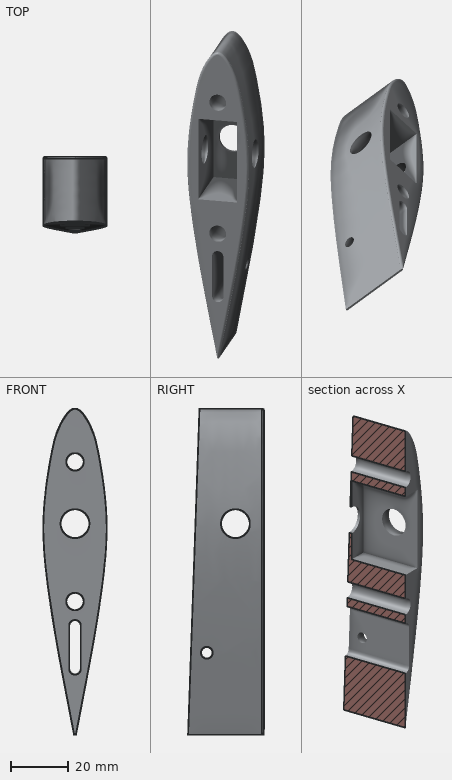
import cadquery as cq
import math

chord = 113.96
thickness = 22.21
tail_depth = 26.58
face_slope = 2.0
nose_depth = tail_depth - chord * math.tan(math.radians(face_slope))

tail_slope = 0.19
tail_tip_half_width = 0.35
tail_start = 85.0
tail_start_half_width = tail_tip_half_width + tail_slope * (chord - tail_start)
outline_points = [
    (4.85, 5.0),
    (8.1, 15.0),
    (thickness / 2, 41.0),
    (9.78, 60.0),
    (tail_start_half_width, tail_start),
    (tail_tip_half_width, chord),
]

rim_depth = 0.8
rim_radius = 0.999 * rim_depth

pin_diameter = 6.0
pin_distances = [18.6, 67.4]
bore_diameter = 10.0
bore_distance = 40.2
slot_width = 4.0
slot_length = 19.0
slot_distance = 83.4

pocket_width = 14.0
pocket_height = 30.0
pocket_depth = 23.0

cross_bore_from_back = 10.0
cross_pin_diameter = 4.0
cross_pin_distance = 85.3
cross_pin_from_back = 20.0


def height(distance):
    """Z of a place given by its distance below the nose."""
    return chord - distance


def foil_prism(back, front):
    """Foil outline extruded between two distances ahead of the back face."""
    right = [(half_width, height(distance)) for half_width, distance in outline_points]
    left = [(-x, z) for x, z in reversed(right)]
    return (
        cq.Workplane("XZ", origin=(0, -back, 0))
        .spline(left + [(0, chord)] + right, tangents=[(-tail_slope, 1), (-tail_slope, -1)])
        .close()
        .extrude(front - back)
    )


def make_main():
    """Foil from the rim forward, with its front face leaning back towards the nose."""
    wedge = (
        cq.Workplane("YZ")
        .moveTo(-tail_depth, 0)
        .lineTo(-nose_depth, chord)
        .lineTo(-tail_depth, chord)
        .close()
        .extrude(thickness, both=True)
    )
    return foil_prism(rim_depth, tail_depth).cut(wedge)


def make_rim():
    """Back slice of the foil; the roundings of its two sides meet in a ridge at the thin tail."""
    right_block = (
        cq.Workplane("XZ")
        .rect(thickness, chord, centered=False)
        .extrude(rim_depth)
    )
    left_block = right_block.translate((-thickness, 0, 0))
    one_sided = foil_prism(0, rim_depth).intersect(right_block).union(left_block)
    rounded = one_sided.faces(">Y").edges("not(<Z or <X)").fillet(rim_radius)
    return rounded.intersect(rounded.mirror("YZ"))


def cut_front_openings(body):
    """Cut the pin holes, the bore and the slot through along Y."""
    for distance in pin_distances:
        pin = cq.Workplane("XZ").center(0, height(distance)).circle(pin_diameter / 2)
        body = body.cut(pin.extrude(tail_depth))
    bore = cq.Workplane("XZ").center(0, height(bore_distance)).circle(bore_diameter / 2)
    slot = cq.Workplane("XZ").center(0, height(slot_distance)).slot2D(slot_length, slot_width, 90)
    return body.cut(bore.extrude(tail_depth)).cut(slot.extrude(tail_depth))


def cut_pocket(body):
    """Sink the rectangular pocket from the back, leaving a thin wall at the front."""
    pocket = cq.Workplane("XZ").center(0, height(bore_distance)).rect(pocket_width, pocket_height)
    return body.cut(pocket.extrude(pocket_depth))


def cut_cross_hole(body, diameter, from_back, distance):
    """Cut a round hole through along X."""
    hole = cq.Workplane("YZ").center(-from_back, height(distance)).circle(diameter / 2)
    return body.cut(hole.extrude(thickness, both=True))


blade = make_main().union(make_rim())
blade = cut_front_openings(blade)
blade = cut_pocket(blade)
blade = cut_cross_hole(blade, bore_diameter, cross_bore_from_back, bore_distance)
result = cut_cross_hole(blade, cross_pin_diameter, cross_pin_from_back, cross_pin_distance)